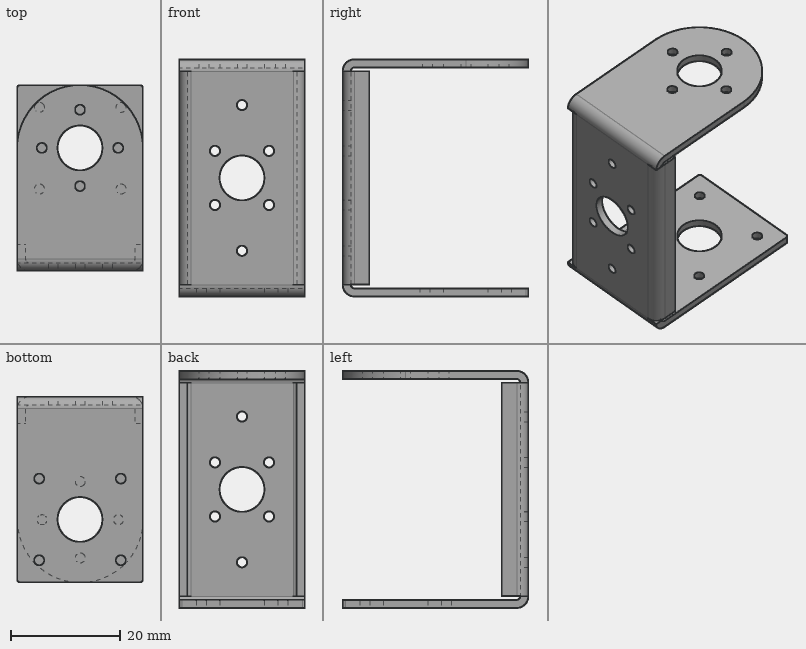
import cadquery as cq
import math

width = 23.0
depth = 34.0
height = 43.4
sheet = 1.5
bend_outer = 2.15
bend_inner = bend_outer - sheet
lip_depth = 4.9
corner_radius = 0.5

bore_diameter = 8.15
screw_diameter = 1.82
bolt_circle_radius = 7.0
lower_hole_offset = 7.45
web_outer_hole_offset = 13.32

end_radius = width / 2
bore_y = depth - end_radius
lip_height = height - 2 * bend_outer


def bent_channel(plane, outer_width, leg, length):
    """U-shaped sheet with rounded bends; its base is at local y = 0, its legs point to +y."""
    half = outer_width / 2
    inside = half - sheet
    flat = half - bend_outer
    diagonal = math.sqrt(0.5)
    outer_mid = flat + bend_outer * diagonal
    outer_mid_y = bend_outer - bend_outer * diagonal
    inner_mid = flat + bend_inner * diagonal
    inner_mid_y = bend_outer - bend_inner * diagonal
    return (
        cq.Workplane(plane)
        .moveTo(-half, leg)
        .lineTo(-half, bend_outer)
        .threePointArc((-outer_mid, outer_mid_y), (-flat, 0))
        .lineTo(flat, 0)
        .threePointArc((outer_mid, outer_mid_y), (half, bend_outer))
        .lineTo(half, leg)
        .lineTo(inside, leg)
        .lineTo(inside, bend_outer)
        .threePointArc((inner_mid, inner_mid_y), (flat, sheet))
        .lineTo(-flat, sheet)
        .threePointArc((-inner_mid, inner_mid_y), (-inside, bend_outer))
        .lineTo(-inside, leg)
        .close()
        .extrude(length / 2, both=True)
    )


def holes(plane, origin, points, diameter, length):
    """Round cutters centred on the given points, reaching half the length to each side."""
    return (
        cq.Workplane(plane, origin=origin)
        .pushPoints(points)
        .circle(diameter / 2)
        .extrude(length / 2, both=True)
    )


def square_points(offset):
    return [(x, y) for x in (-offset, offset) for y in (-offset, offset)]


side_plane = cq.Plane(origin=(0, 0, 0), xDir=(0, 0, 1), normal=(-1, 0, 0))
plates = bent_channel(side_plane, height, depth, width)

upper_outline = (
    cq.Workplane("XY")
    .moveTo(-end_radius, 0)
    .lineTo(-end_radius, bore_y)
    .threePointArc((0, depth), (end_radius, bore_y))
    .lineTo(end_radius, 0)
    .close()
    .extrude(height / 2)
)
lower_outline = (
    cq.Workplane("XY")
    .box(width, depth, height / 2, centered=(True, False, False))
    .edges("|Z and >Y")
    .fillet(corner_radius)
    .translate((0, 0, -height / 2))
)
plates = plates.intersect(upper_outline.union(lower_outline))

lips = bent_channel("XY", width, lip_depth, lip_height)

trim = cq.Workplane("XY").box(2 * width, 2 * bend_outer, lip_height)
body = plates.cut(trim).union(lips)

sheet_cut = 4 * sheet

body = body.cut(holes("XY", (0, bore_y, 0), [(0, 0)], bore_diameter, 2 * height))
body = body.cut(holes("XZ", (0, 0, 0), [(0, 0)], bore_diameter, sheet_cut))

cross = [(-bolt_circle_radius, 0), (bolt_circle_radius, 0)]
cross += [(0, -bolt_circle_radius), (0, bolt_circle_radius)]
body = body.cut(holes("XY", (0, bore_y, height / 2), cross, screw_diameter, sheet_cut))
square = square_points(lower_hole_offset)
body = body.cut(holes("XY", (0, bore_y, -height / 2), square, screw_diameter, sheet_cut))

web_points = square_points(bolt_circle_radius * math.sqrt(0.5))
web_points += [(0, web_outer_hole_offset), (0, -web_outer_hole_offset)]
result = body.cut(holes("XZ", (0, 0, 0), web_points, screw_diameter, sheet_cut))